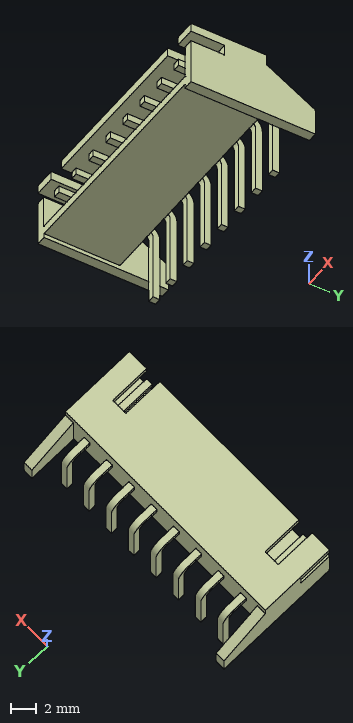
import cadquery as cq

PIN_COUNT = 8
PITCH = 2.5
LENGTH = 22.4
HALF_LENGTH = LENGTH / 2
HEIGHT = 6.15
BODY_DEPTH = 7.0
TOTAL_DEPTH = 11.5

SIDE_WALL = 0.85
TOP_WALL = 0.85
CAVITY_FLOOR_Z = 1.2
CAVITY_DEPTH = 4.7
CAVITY_ROOF_Z = HEIGHT - TOP_WALL

PLATE_THICKNESS = 0.9
BODY_BOTTOM_Z = 0.4
PLATE_REAR_HEIGHT = 2.55
PLATE_SLOPE_TOP_Z = HEIGHT - 1.0

SIDE_NOTCH_DEPTH = 3.1
SIDE_NOTCH_HEIGHT = 1.0
TOP_SLOT_DEPTH = 3.7
TOP_SLOT_WIDTH = 1.45
TOP_SLOT_EDGE_OFFSET = 1.95

PIN_SIZE = 0.64
PIN_HALF = PIN_SIZE / 2
PIN_AXIS_Z = HEIGHT - 2.4
PIN_TIP_Y = 0.2
PIN_TAIL_Y = 9.2
PIN_TAIL_LENGTH = 3.4
PIN_OUTER_BEND_RADIUS = 1.2
PIN_BEND_RADIUS = PIN_OUTER_BEND_RADIUS - PIN_HALF


def box(x_range, y_range, z_range):
    """Axis-aligned box spanning the given (low, high) ranges."""
    size = [high - low for low, high in (x_range, y_range, z_range)]
    corner = (x_range[0], y_range[0], z_range[0])
    return cq.Workplane("XY").box(*size, centered=False).translate(corner)


def make_side_plate(x_start):
    """Full-depth side plate with a sloped rear wing."""
    outline = [
        (0, 0),
        (TOTAL_DEPTH, 0),
        (TOTAL_DEPTH, PLATE_REAR_HEIGHT),
        (BODY_DEPTH, PLATE_SLOPE_TOP_Z),
        (BODY_DEPTH, HEIGHT),
        (0, HEIGHT),
    ]
    plate = cq.Workplane("YZ").polyline(outline).close().extrude(PLATE_THICKNESS)
    return plate.translate((x_start, 0, 0))


def make_cavity():
    """Mating cavity, open at the front."""
    inner_half = HALF_LENGTH - SIDE_WALL
    return box((-inner_half, inner_half), (0, CAVITY_DEPTH), (CAVITY_FLOOR_Z, CAVITY_ROOF_Z))


def make_side_notches():
    """Notch through both side walls, directly under the top wall."""
    notch_bottom_z = CAVITY_ROOF_Z - SIDE_NOTCH_HEIGHT
    return box((-HALF_LENGTH, HALF_LENGTH), (0, SIDE_NOTCH_DEPTH), (notch_bottom_z, CAVITY_ROOF_Z))


def make_top_slot(x_start):
    """Slot through the top wall, open at the front."""
    x_range = (x_start, x_start + TOP_SLOT_WIDTH)
    return box(x_range, (0, TOP_SLOT_DEPTH), (CAVITY_ROOF_Z, HEIGHT))


def make_housing():
    """Body and side plates with all openings cut."""
    housing = box((-HALF_LENGTH, HALF_LENGTH), (0, BODY_DEPTH), (BODY_BOTTOM_Z, HEIGHT))
    for x_start in (-HALF_LENGTH, HALF_LENGTH - PLATE_THICKNESS):
        housing = housing.union(make_side_plate(x_start))
    housing = housing.cut(make_cavity()).cut(make_side_notches())
    slot_start = HALF_LENGTH - TOP_SLOT_EDGE_OFFSET
    for x_start in (-slot_start, slot_start - TOP_SLOT_WIDTH):
        housing = housing.cut(make_top_slot(x_start))
    return housing


def make_pin(x_center):
    """Square pin: straight contact, rounded right-angle bend, solder tail."""
    path = (
        cq.Workplane("YZ")
        .moveTo(PIN_TIP_Y, PIN_AXIS_Z)
        .lineTo(PIN_TAIL_Y - PIN_BEND_RADIUS, PIN_AXIS_Z)
        .tangentArcPoint((PIN_BEND_RADIUS, -PIN_BEND_RADIUS))
        .lineTo(PIN_TAIL_Y, -PIN_TAIL_LENGTH)
    )
    section = cq.Workplane("XZ", origin=(0, PIN_TIP_Y, PIN_AXIS_Z)).rect(PIN_SIZE, PIN_SIZE)
    return section.sweep(path).translate((x_center, 0, 0))


connector = make_housing()
first_pin_x = -PITCH * (PIN_COUNT - 1) / 2
for index in range(PIN_COUNT):
    connector = connector.union(make_pin(first_pin_x + index * PITCH))

result = connector